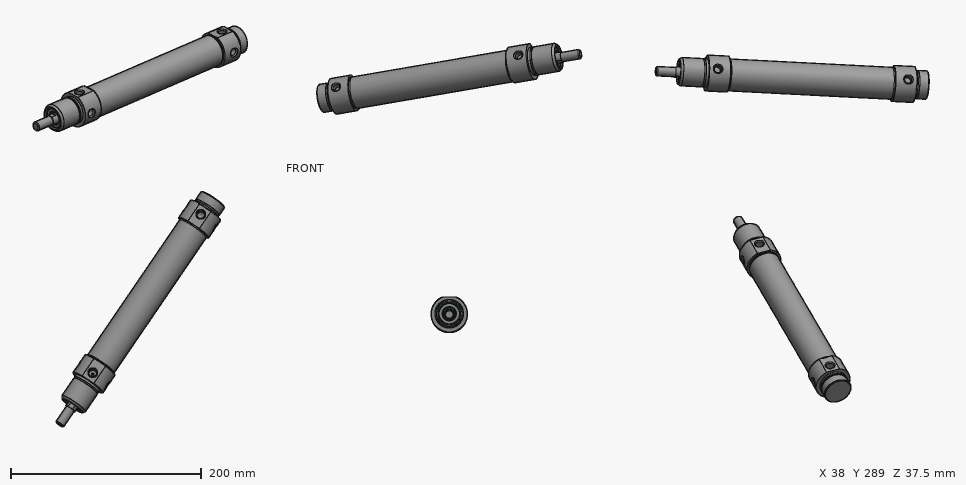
import cadquery as cq
import math

overall_length = 289.0
front_axis_height = 1.0

head_radius = 19.0
flat_height = 17.5
front_head_start = 53.7
front_head_end = 76.3
rear_head_start = 252.5
rear_head_end = 274.7
boss_length = 1.5

neck_radius = 15.0
front_neck_start = 24.3
front_chamfer_length = 2.5
front_chamfer_depth = 1.7
rear_chamfer = 1.0
groove_depth = 0.5
groove_width = 1.7
front_groove_start = 49.5
rear_groove_start = 277.0

rim_chamfer = 1.2
recess_radius = 10.7
recess_depth = 2.3
bore_radius = 6.5
bore_chamfer = 1.0
bore_depth = 3.0

port_inset = 9.0
port_radius = 4.0
port_mouth_radius = 5.2
port_depth = 8.7
passage_radius = 1.2
drill_point_angle = 118.0
pivot_radius = 3.8
pivot_mouth_radius = 10.0 / 2
pivot_depth = 7.2

tube_radius = 33.8 / 2

shank_radius = 5.8
wrench_flat_height = 10.0 / 2
wrench_flat_length = 5.8
stud_radius = 10.0 / 2
stud_length = 20.5
stud_chamfer = 1.2

cut_size = 4 * head_radius


def cylinder(radius, start, end, axis_height):
    """Solid cylinder along Y between two stations."""
    plane = cq.Plane(origin=(0, start, axis_height), xDir=(1, 0, 0), normal=(0, 1, 0))
    return cq.Workplane(plane).circle(radius).extrude(end - start)


def ring(outer_radius, inner_radius, start, end, axis_height):
    """Ring along Y between two stations."""
    outer = cylinder(outer_radius, start, end, axis_height)
    return outer.cut(cylinder(inner_radius, start, end, axis_height))


def bevelled_bore(radius, bevel, start, end, axis_height):
    """Bore cutter along Y, widened by a 45 degree bevel at its start."""
    mouth = cq.Solid.makeCone(
        radius + bevel, radius, bevel, cq.Vector(0, start, axis_height), cq.Vector(0, 1, 0))
    return cylinder(radius, start, end, axis_height).union(cq.Workplane(mouth))


def countersunk_hole(centre, direction, radius, mouth_radius, depth):
    """Flat-bottomed hole cutter with a 45 degree mouth, open outward."""
    start = cq.Vector(*centre)
    inward = cq.Vector(*direction)
    mouth_depth = mouth_radius - radius
    hole = cq.Solid.makeCylinder(radius, depth, start, inward)
    mouth = cq.Solid.makeCone(mouth_radius, radius, mouth_depth, start, inward)
    opening = cq.Solid.makeCylinder(mouth_radius, mouth_radius, start, -inward)
    return cq.Workplane(hole.fuse(mouth, opening))


def head_body(start, end, axis_height):
    """Round head with its top flat."""
    above_flat = (
        cq.Workplane("XY", origin=(0, (start + end) / 2, axis_height + flat_height))
        .box(cut_size, cut_size, cut_size, centered=(True, True, False))
    )
    return cylinder(head_radius, start, end, axis_height).cut(above_flat)


def cut_ports(head, port_y, axis_height):
    """Sink the air port in the flat and a pivot hole in each side."""
    head = head.cut(countersunk_hole(
        (0, port_y, axis_height + flat_height), (0, 0, -1), port_radius, port_mouth_radius, port_depth))
    side = math.sqrt(head_radius**2 - pivot_mouth_radius**2)
    for sign in (-1, 1):
        centre = (sign * side, port_y, axis_height)
        head = head.cut(countersunk_hole(
            centre, (-sign, 0, 0), pivot_radius, pivot_mouth_radius, pivot_depth))
    return head


def make_front_head():
    """Front head with its neck, recess, rod socket and ports."""
    axis = front_axis_height
    neck = (
        cylinder(neck_radius, front_neck_start, front_head_start, axis)
        .faces("<Y").chamfer(front_chamfer_length, front_chamfer_depth)
    )
    groove_end = front_groove_start + groove_width
    neck = neck.cut(ring(neck_radius, neck_radius - groove_depth, front_groove_start, groove_end, axis))
    boss = cylinder(tube_radius, front_head_end, front_head_end + boss_length, axis)
    head = head_body(front_head_start, front_head_end, axis).union(neck).union(boss)

    recess_floor = front_neck_start + recess_depth
    recess = bevelled_bore(recess_radius, rim_chamfer, front_neck_start, recess_floor, axis)
    bore = bevelled_bore(bore_radius, bore_chamfer, recess_floor, recess_floor + bore_depth, axis)
    rod_socket = cylinder(shank_radius, front_neck_start, front_head_end, 0)
    head = head.cut(recess).cut(bore).cut(rod_socket)

    port_y = front_head_start + port_inset
    head = cut_ports(head, port_y, axis)
    passage = cq.Workplane("XY", origin=(0, port_y, 0)).circle(passage_radius).extrude(flat_height)
    return head.cut(passage)


def make_rear_head():
    """Rear head with its neck and ports; its air port ends in a drill point."""
    neck = cylinder(neck_radius, rear_head_end, overall_length, 0).faces(">Y").chamfer(rear_chamfer)
    groove_end = rear_groove_start + groove_width
    neck = neck.cut(ring(neck_radius, neck_radius - groove_depth, rear_groove_start, groove_end, 0))
    boss = cylinder(tube_radius, rear_head_start - boss_length, rear_head_start, 0)
    head = head_body(rear_head_start, rear_head_end, 0).union(neck).union(boss)

    port_y = rear_head_end - port_inset
    head = cut_ports(head, port_y, 0)
    point_depth = port_radius / math.tan(math.radians(drill_point_angle / 2))
    drill_point = cq.Solid.makeCone(
        port_radius, 0, point_depth, cq.Vector(0, port_y, flat_height - port_depth), cq.Vector(0, 0, -1))
    return head.cut(cq.Workplane(drill_point))


def make_tube():
    """Tube between the bosses of the two heads."""
    return cylinder(tube_radius, front_head_end + boss_length, rear_head_start - boss_length, 0)


def make_rod():
    """Rod seated in the front head, ending at the tube side of the head body."""
    stud = cylinder(stud_radius, 0, stud_length, 0).faces("<Y").chamfer(stud_chamfer)
    shank = cylinder(shank_radius, stud_length, front_head_end, 0)
    for sign in (-1, 1):
        beyond_flat = (
            cq.Workplane("XY")
            .box(cut_size, wrench_flat_length, cut_size)
            .translate((0, stud_length + wrench_flat_length / 2,
                        sign * (wrench_flat_height + cut_size / 2)))
        )
        shank = shank.cut(beyond_flat)
    return stud.union(shank)


front_head = make_front_head()
rear_head = make_rear_head()
tube = make_tube()
rod = make_rod()

result = cq.Compound.makeCompound([front_head.val(), rear_head.val(), tube.val(), rod.val()])